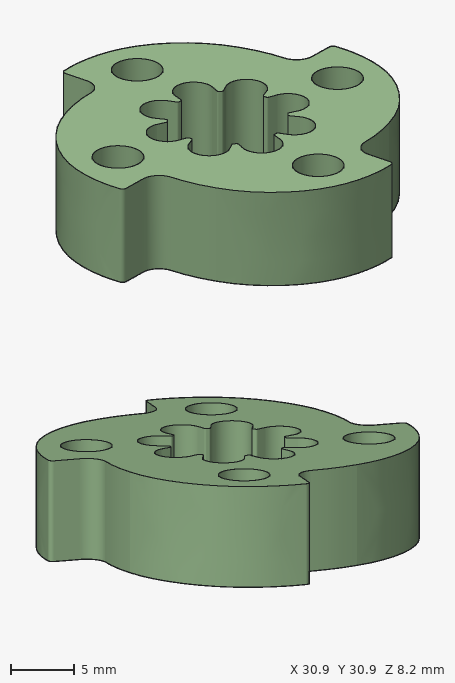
import cadquery as cq
import math

half_span = 15.45
thickness = 8.2

lobe_count = 4
step_height = 1.6
step_corner_radius = 0.37
step_tip = 15.43
corner_start = (step_tip, step_height - step_corner_radius)
step_root_x = 12.93
lobe_start = (11.3, 3.03)
flank_mid = (11.1, 5.1)
flank_end = (10.6, 7.18)
crest_points = [(8.65, 10.98), (4.85, 14.23), (-0.55, half_span)]
root_fillet_mid = (11.75, 2.07)

hole_diameter = 4.08
hole_center = (10.98, -2.4)

petal_count = 8
petal_radius = 1.67
petal_root_half_width = 1.42
petal_reach = 7.15
tooth_tip_radius = 4.8
tooth_edge_fillet = 0.15


def turned(point, turns):
    """Rotate a point about the axis by a number of lobe steps."""
    angle = 2 * math.pi * turns / lobe_count
    x, y = point
    return (x * math.cos(angle) - y * math.sin(angle), x * math.sin(angle) + y * math.cos(angle))


def add_lobe(outline, turns):
    """Add a rounded step corner, step face, root fillet, flank and crest."""
    corner_inset = step_corner_radius * (1 - math.sqrt(0.5))
    corner_mid = (step_tip - corner_inset, step_height - corner_inset)
    corner_end = (step_tip - step_corner_radius, step_height)
    outline = outline.threePointArc(turned(corner_mid, turns), turned(corner_end, turns))
    outline = outline.lineTo(*turned((step_root_x, step_height), turns))
    outline = outline.threePointArc(turned(root_fillet_mid, turns), turned(lobe_start, turns))
    outline = outline.threePointArc(turned(flank_mid, turns), turned(flank_end, turns))
    crest_end = turned(corner_start, 1)
    return outline.spline(
        [turned(point, turns) for point in crest_points + [crest_end]],
        includeCurrent=True,
    )


def make_cam():
    outline = cq.Workplane("XY").moveTo(*corner_start)
    for turns in range(lobe_count):
        outline = add_lobe(outline, turns)
    return outline.close().extrude(thickness)


def make_spline_cutter():
    """Round core with radial petals; the gaps between petals become the teeth."""
    cutter = cq.Workplane("XY").circle(tooth_tip_radius).extrude(thickness)
    petal_center = petal_reach - petal_radius
    petal = (
        cq.Workplane("XY")
        .moveTo(0, -petal_root_half_width)
        .lineTo(petal_center, -petal_radius)
        .threePointArc((petal_reach, 0), (petal_center, petal_radius))
        .lineTo(0, petal_root_half_width)
        .close()
        .extrude(thickness)
    )
    pitch = 360 / petal_count
    for index in range(petal_count):
        cutter = cutter.union(petal.rotate((0, 0, 0), (0, 0, 1), (index + 0.5) * pitch))
    tooth_edges = cq.selectors.BoxSelector(
        (-tooth_tip_radius, -tooth_tip_radius, 0),
        (tooth_tip_radius, tooth_tip_radius, thickness),
    )
    return cutter.edges("|Z").edges(tooth_edges).fillet(tooth_edge_fillet)


def make_pin_holes():
    centers = [turned(hole_center, turns) for turns in range(lobe_count)]
    return cq.Workplane("XY").pushPoints(centers).circle(hole_diameter / 2).extrude(thickness)


result = make_cam().cut(make_spline_cutter()).cut(make_pin_holes())